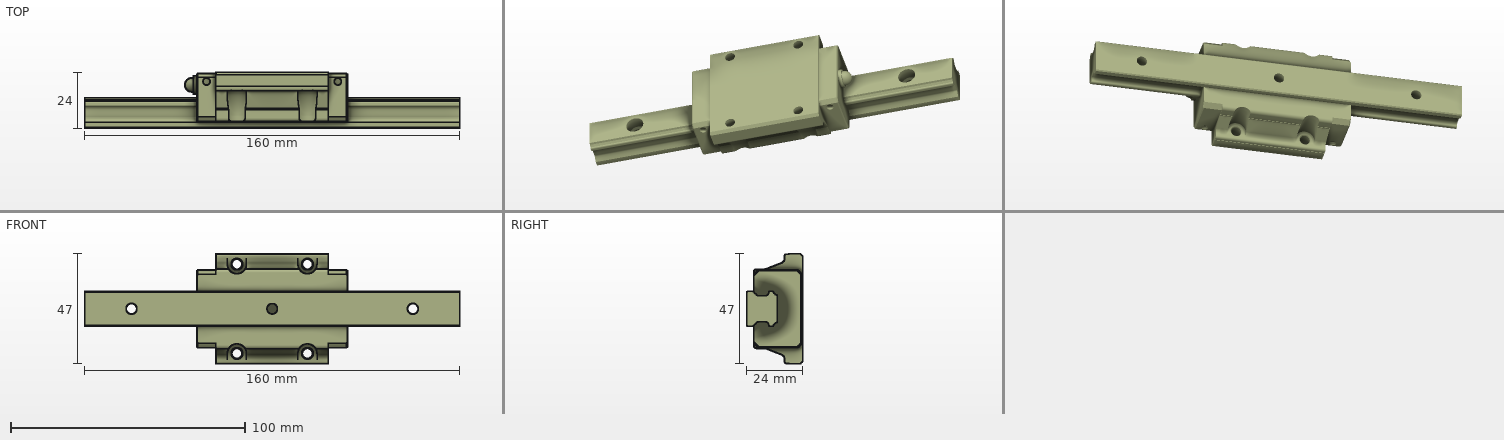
import cadquery as cq
import math


RAIL_LENGTH = 160
RAIL_HEIGHT = 13.1
RAIL_HALF_WIDTH = 7.5
RAIL_BASE_CHAMFER = 0.5
RAIL_FOOT_HEIGHT = 2.7
RAIL_WAIST_HALF_WIDTH = 5.6
RAIL_WAIST_START = 4.6
RAIL_WAIST_FILLET = 0.8
RAIL_WAIST_END = 8.2
NOSE_BOTTOM_HEIGHT = 9.5
NOSE_TOP_HEIGHT = 11.5
NOSE_RADIUS = 0.6
RAIL_TOP_HALF_WIDTH = 5.8
RAIL_SHOULDER_HEIGHT = 12.3
RAIL_SHOULDER_HALF_WIDTH = 6.0

RAIL_HOLE_DIAMETER = 4.5
RAIL_HOLE_PITCH = 60.0
RAIL_COUNTERBORE_DIAMETER = 7.5
RAIL_COUNTERBORE_DEPTH = 5.3

CARRIAGE_BASE_HEIGHT = 3.0
CARRIAGE_TOP_HEIGHT = 24
BLOCK_LENGTH = 48
BLOCK_HALF_WIDTH = 17.1
SIDE_STEP_DEPTH = 0.2
BLOCK_CORNER_RADIUS = 1.5
FLANGE_HALF_WIDTH = 23.5
FLANGE_TOP_CHAMFER = 1.1
FLANGE_BOTTOM_HEIGHT = 16.2
FLANGE_EDGE_RADIUS = 1.0
FLANGE_STEP_HEIGHT = 18.0
FLANGE_SEAT_HALF_WIDTH = 21.5
SLOPE_TOP_HEIGHT = 14.7
SLOPE_TOP_HALF_WIDTH = 19.5
SLOPE_BOTTOM_HEIGHT = 8.6
BLOCK_STEP_HEIGHT = 8

CARRIAGE_LENGTH = 64.3
CAP_TOP_HEIGHT = 23.5
CAP_HALF_WIDTH = 16.6
CAP_TOP_CHAMFER = 1.6
CAP_BOTTOM_CHAMFER = 2.0
CAP_END_CHAMFER = 0.5
CAP_HOLE_DIAMETER = 3.0
CAP_HOLE_X = 28.0
CAP_HOLE_HEIGHT = 20.0
CAP_HOLE_DEPTH = 1.6

BOLT_HOLE_DIAMETER = 4.3
BOLT_HOLE_CHAMFER = 0.3
BOLT_X = 15.0
BOLT_Z = 19.0
BOLT_SEAT_DIAMETER = 8.2

NIPPLE_HEIGHT = 18.5
NIPPLE_COLLAR_DIAMETER = 7.8
NIPPLE_COLLAR_LENGTH = 1.5
NIPPLE_NECK_LENGTH = 0.6
NIPPLE_DOME_RADIUS = 3.0

SIDES = (-1, 1)
DIAGONAL = math.sqrt(0.5)


def extrude_along_rail(half_outline, length):
    """Mirror an open half outline about Z = 0 and extrude it, centred on X = 0."""
    return half_outline.mirrorX().extrude(length / 2, both=True)


def fillet_long_edges(body, height, half_width, radius):
    """Round the pair of edges that run along X at this height, one on each side."""
    for side in SIDES:
        edge = cq.selectors.NearestToPointSelector((0, height, side * half_width))
        body = body.edges(edge).fillet(radius)
    return body


def rail_body():
    """Rail without its holes, which is also the shape of the channel in the carriage."""
    nose_base = RAIL_HALF_WIDTH - NOSE_RADIUS
    nose_flat_start = NOSE_BOTTOM_HEIGHT + NOSE_RADIUS
    nose_flat_end = NOSE_TOP_HEIGHT - NOSE_RADIUS
    nose_round = NOSE_RADIUS * DIAGONAL
    groove_height = NOSE_BOTTOM_HEIGHT - RAIL_WAIST_END
    groove_depth = nose_base - RAIL_WAIST_HALF_WIDTH
    outline = (
        cq.Workplane("YZ")
        .moveTo(0, 0)
        .lineTo(0, RAIL_HALF_WIDTH - RAIL_BASE_CHAMFER)
        .lineTo(RAIL_BASE_CHAMFER, RAIL_HALF_WIDTH)
        .lineTo(RAIL_FOOT_HEIGHT, RAIL_HALF_WIDTH)
        .lineTo(RAIL_WAIST_START, RAIL_WAIST_HALF_WIDTH)
        .lineTo(RAIL_WAIST_END, RAIL_WAIST_HALF_WIDTH)
        .threePointArc(
            (RAIL_WAIST_END + groove_height * DIAGONAL, nose_base - groove_depth * DIAGONAL),
            (NOSE_BOTTOM_HEIGHT, nose_base),
        )
        .threePointArc(
            (nose_flat_start - nose_round, nose_base + nose_round),
            (nose_flat_start, RAIL_HALF_WIDTH),
        )
        .lineTo(nose_flat_end, RAIL_HALF_WIDTH)
        .threePointArc((nose_flat_end + nose_round, nose_base + nose_round), (NOSE_TOP_HEIGHT, nose_base))
        .lineTo(RAIL_SHOULDER_HEIGHT, RAIL_SHOULDER_HALF_WIDTH)
        .lineTo(RAIL_HEIGHT, RAIL_TOP_HALF_WIDTH)
        .lineTo(RAIL_HEIGHT, 0)
    )
    body = extrude_along_rail(outline, RAIL_LENGTH)
    return fillet_long_edges(body, RAIL_WAIST_START, RAIL_WAIST_HALF_WIDTH, RAIL_WAIST_FILLET)


def cylinder_along_y(x, z, diameter, start, end):
    """Upright cylinder between two heights."""
    return (
        cq.Workplane("XZ", origin=(x, start, z))
        .circle(diameter / 2)
        .extrude(start - end)
    )


def make_rail():
    """Rail with its counterbored mounting holes."""
    rail = rail_body()
    counterbore_floor = RAIL_HEIGHT - RAIL_COUNTERBORE_DEPTH
    for x in (-RAIL_HOLE_PITCH, 0, RAIL_HOLE_PITCH):
        rail = rail.cut(cylinder_along_y(x, 0, RAIL_HOLE_DIAMETER, 0, RAIL_HEIGHT))
        rail = rail.cut(cylinder_along_y(x, 0, RAIL_COUNTERBORE_DIAMETER, counterbore_floor, RAIL_HEIGHT))
    return rail


def flanged_block():
    """Middle of the carriage, with a mounting flange along each side."""
    flange_side = FLANGE_HALF_WIDTH - SIDE_STEP_DEPTH
    block_side = BLOCK_HALF_WIDTH - SIDE_STEP_DEPTH
    edge_height = FLANGE_BOTTOM_HEIGHT + FLANGE_EDGE_RADIUS
    edge_width = flange_side - FLANGE_EDGE_RADIUS
    edge_round = FLANGE_EDGE_RADIUS * DIAGONAL
    outline = (
        cq.Workplane("YZ")
        .moveTo(CARRIAGE_TOP_HEIGHT, 0)
        .lineTo(CARRIAGE_TOP_HEIGHT, FLANGE_HALF_WIDTH - FLANGE_TOP_CHAMFER)
        .lineTo(CARRIAGE_TOP_HEIGHT - FLANGE_TOP_CHAMFER, FLANGE_HALF_WIDTH)
        .lineTo(FLANGE_STEP_HEIGHT, FLANGE_HALF_WIDTH)
        .lineTo(FLANGE_STEP_HEIGHT, flange_side)
        .lineTo(edge_height, flange_side)
        .threePointArc(
            (edge_height - edge_round, edge_width + edge_round),
            (FLANGE_BOTTOM_HEIGHT, edge_width),
        )
        .lineTo(FLANGE_BOTTOM_HEIGHT, FLANGE_SEAT_HALF_WIDTH)
        .tangentArcPoint((SLOPE_TOP_HEIGHT, SLOPE_TOP_HALF_WIDTH), relative=False)
        .lineTo(SLOPE_BOTTOM_HEIGHT, BLOCK_HALF_WIDTH)
        .lineTo(BLOCK_STEP_HEIGHT, BLOCK_HALF_WIDTH)
        .lineTo(BLOCK_STEP_HEIGHT, block_side)
        .lineTo(CARRIAGE_BASE_HEIGHT, block_side)
        .lineTo(CARRIAGE_BASE_HEIGHT, 0)
    )
    block = extrude_along_rail(outline, BLOCK_LENGTH)
    return fillet_long_edges(block, CARRIAGE_BASE_HEIGHT, block_side, BLOCK_CORNER_RADIUS)


def end_cap_core():
    """Bar the full length of the carriage; its ends show as the two end caps."""
    outline = (
        cq.Workplane("YZ")
        .moveTo(CAP_TOP_HEIGHT, 0)
        .lineTo(CAP_TOP_HEIGHT, CAP_HALF_WIDTH - CAP_TOP_CHAMFER)
        .lineTo(CAP_TOP_HEIGHT - CAP_TOP_CHAMFER, CAP_HALF_WIDTH)
        .lineTo(CARRIAGE_BASE_HEIGHT + CAP_BOTTOM_CHAMFER, CAP_HALF_WIDTH)
        .lineTo(CARRIAGE_BASE_HEIGHT, CAP_HALF_WIDTH - CAP_BOTTOM_CHAMFER)
        .lineTo(CARRIAGE_BASE_HEIGHT, 0)
    )
    core = extrude_along_rail(outline, CARRIAGE_LENGTH)
    return core.faces("<X or >X").edges("not(<Y)").chamfer(CAP_END_CHAMFER)


def bolt_seat(x, side):
    """Round clearance for a bolt head below the flange, open toward the outer side."""
    round_part = cylinder_along_y(x, side * BOLT_Z, BOLT_SEAT_DIAMETER, 0, FLANGE_BOTTOM_HEIGHT)
    open_part = (
        cq.Workplane("XY")
        .box(BOLT_SEAT_DIAMETER, FLANGE_BOTTOM_HEIGHT, FLANGE_HALF_WIDTH - BOLT_Z)
        .translate((x, FLANGE_BOTTOM_HEIGHT / 2, side * (FLANGE_HALF_WIDTH + BOLT_Z) / 2))
    )
    return round_part.union(open_part)


def bolt_hole(x, z):
    """Through hole in the flange, countersunk from below."""
    radius = BOLT_HOLE_DIAMETER / 2
    hole = cylinder_along_y(x, z, BOLT_HOLE_DIAMETER, FLANGE_BOTTOM_HEIGHT, CARRIAGE_TOP_HEIGHT)
    countersink = cq.Solid.makeCone(
        radius + BOLT_HOLE_CHAMFER,
        radius,
        BOLT_HOLE_CHAMFER,
        pnt=cq.Vector(x, FLANGE_BOTTOM_HEIGHT, z),
        dir=cq.Vector(0, 1, 0),
    )
    return hole.union(cq.Workplane(countersink))


def make_carriage():
    """Block and end caps in one piece, with the rail channel, bolt holes and cap holes."""
    carriage = flanged_block().union(end_cap_core())
    carriage = carriage.cut(rail_body())
    for side in SIDES:
        for x in (-BOLT_X, BOLT_X):
            carriage = carriage.cut(bolt_seat(x, side)).cut(bolt_hole(x, side * BOLT_Z))
        for x in (-CAP_HOLE_X, CAP_HOLE_X):
            hole = (
                cq.Workplane("XY", origin=(x, CAP_HOLE_HEIGHT, side * CAP_HALF_WIDTH))
                .circle(CAP_HOLE_DIAMETER / 2)
                .extrude(-side * CAP_HOLE_DEPTH)
            )
            carriage = carriage.cut(hole)
    return carriage


def make_nipple():
    """Collar, short neck and half-round head, turned about an axis along X."""
    dome_center = NIPPLE_COLLAR_LENGTH + NIPPLE_NECK_LENGTH
    dome_mid = NIPPLE_DOME_RADIUS * DIAGONAL
    return (
        cq.Workplane("XY", origin=(-CARRIAGE_LENGTH / 2, NIPPLE_HEIGHT, 0))
        .moveTo(0, 0)
        .lineTo(0, NIPPLE_COLLAR_DIAMETER / 2)
        .lineTo(-NIPPLE_COLLAR_LENGTH, NIPPLE_COLLAR_DIAMETER / 2)
        .lineTo(-NIPPLE_COLLAR_LENGTH, NIPPLE_DOME_RADIUS)
        .lineTo(-dome_center, NIPPLE_DOME_RADIUS)
        .threePointArc((-dome_center - dome_mid, dome_mid), (-dome_center - NIPPLE_DOME_RADIUS, 0))
        .close()
        .revolve(axisStart=(0, 0, 0), axisEnd=(1, 0, 0))
    )


rail = make_rail()
carriage = make_carriage()
nipple = make_nipple()

result = cq.Compound.makeCompound([rail.val(), carriage.val(), nipple.val()])